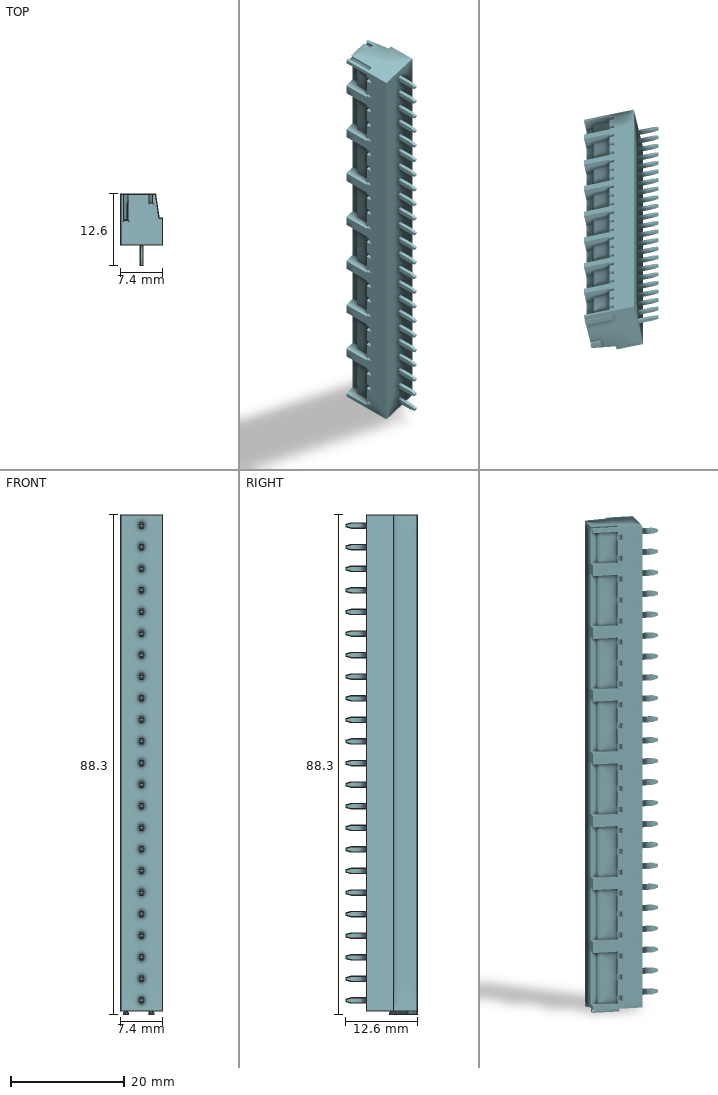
import cadquery as cq
import math

pin_count = 23
pin_span = 83.8
pin_pitch = pin_span / (pin_count - 1)
body_height = 87.6
body_depth = 9.0
body_width = 7.4

back_width = 6.2
slope_end_width = 6.8
slope_depth = 4.2

pin_length = 3.6
pin_width = 0.5
pin_height = 1.0
tip_length = 1.0
tip_height = 0.4
pin_x = body_width / 2
first_pin_z = (body_height - pin_span) / 2

pins_per_window = 3
rib_thickness = 2.0
end_wall = 0.8
window_length = 4.6
window_depth = 1.15
throat_depth = 1.85
throat_length = 1.15
throat_radius = throat_depth - window_depth

notch_length = 0.8
notch_height = 1.1
notch_depth = 0.8

lip_height = 0.3
neck_height = 0.35
neck_inset = 0.3
wide_rail = (0.5, 1.4)
narrow_rail = (5.0, 5.9)
wide_dovetail_length = 4.9
narrow_dovetail_length = 1.85

wide_groove = (0.3, 1.6)
narrow_groove = narrow_rail


def pin_z(index):
    """Height of a pin, counted from the bottom."""
    return first_pin_z + index * pin_pitch


def box(x_range, y_range, z_range):
    """Box spanning the given (low, high) ranges."""
    size = [high - low for low, high in (x_range, y_range, z_range)]
    corner = (x_range[0], y_range[0], z_range[0])
    return cq.Workplane("XY").box(*size, centered=False).translate(corner)


def make_housing():
    outline = [
        (0, 0),
        (body_width, 0),
        (body_width, body_depth - slope_depth),
        (slope_end_width, body_depth - slope_depth),
        (back_width, body_depth),
        (0, body_depth),
    ]
    return cq.Workplane("XY").polyline(outline).close().extrude(body_height)


def make_window(bottom, top):
    """Recess open to -X and +Y that deepens past a rounded corner near the back face."""
    front = body_depth - window_length
    throat_front = body_depth - throat_length
    round_start = throat_front - throat_radius
    arc_offset = throat_radius * math.sqrt(0.5)
    arc_middle = (throat_depth - arc_offset, round_start + arc_offset)
    return (
        cq.Workplane("XY", origin=(0, 0, bottom))
        .moveTo(0, front)
        .lineTo(window_depth, front)
        .lineTo(window_depth, round_start)
        .threePointArc(arc_middle, (throat_depth, throat_front))
        .lineTo(throat_depth, body_depth)
        .lineTo(0, body_depth)
        .close()
        .extrude(top - bottom)
    )


def make_notch(z):
    front = body_depth - window_length - notch_length
    return box(
        (0, notch_depth),
        (front, front + notch_length),
        (z - notch_height / 2, z + notch_height / 2),
    )


def make_pin(z):
    """Flat pin with a tapered tip."""
    shank_end = tip_length - pin_length
    outline = [
        (0, z - pin_height / 2),
        (shank_end, z - pin_height / 2),
        (-pin_length, z - tip_height / 2),
        (-pin_length, z + tip_height / 2),
        (shank_end, z + pin_height / 2),
        (0, z + pin_height / 2),
    ]
    pin_start = pin_x - pin_width / 2
    return cq.Workplane("YZ", origin=(pin_start, 0, 0)).polyline(outline).close().extrude(pin_width)


def make_wedge(wide, length, inset, left_inset, wide_z, narrow_z):
    """Bar ending at the back face that narrows from wide_z to narrow_z.

    The +X side and the front end slope by inset, the -X side by left_inset.
    """
    left, right = wide
    front = body_depth - length
    wide_corners = [(left, front), (right, front), (right, body_depth), (left, body_depth)]
    left += left_inset
    right -= inset
    front += inset
    narrow_corners = [(left, front), (right, front), (right, body_depth), (left, body_depth)]
    return (
        cq.Workplane("XY", origin=(0, 0, wide_z))
        .polyline(wide_corners)
        .close()
        .workplane(offset=narrow_z - wide_z)
        .polyline(narrow_corners)
        .close()
        .loft(ruled=True)
    )


def make_dovetail(x_range, length, left_inset, root_z):
    """Sloped neck hanging from root_z, ending in a straight lip."""
    lip_top = root_z - neck_height
    neck = make_wedge(x_range, length, neck_inset, left_inset, lip_top, root_z)
    lip = box(x_range, (body_depth - length, body_depth), (lip_top - lip_height, lip_top))
    return neck.union(lip)


result = make_housing()

window_bottom = end_wall
for first_index in range(0, pin_count, pins_per_window):
    next_index = first_index + pins_per_window
    if next_index < pin_count:
        window_top = pin_z(next_index) - pin_pitch / 2 - rib_thickness / 2
    else:
        window_top = body_height - end_wall
    result = result.cut(make_window(window_bottom, window_top))
    window_bottom = window_top + rib_thickness

for index in range(pin_count):
    result = result.cut(make_notch(pin_z(index)))
    result = result.union(make_pin(pin_z(index)))

result = result.union(make_dovetail(wide_rail, wide_dovetail_length, neck_inset, 0))
result = result.union(make_dovetail(narrow_rail, narrow_dovetail_length, 0, 0))
result = result.cut(make_dovetail(wide_groove, wide_dovetail_length, neck_inset, body_height))
result = result.cut(make_dovetail(narrow_groove, narrow_dovetail_length, 0, body_height))